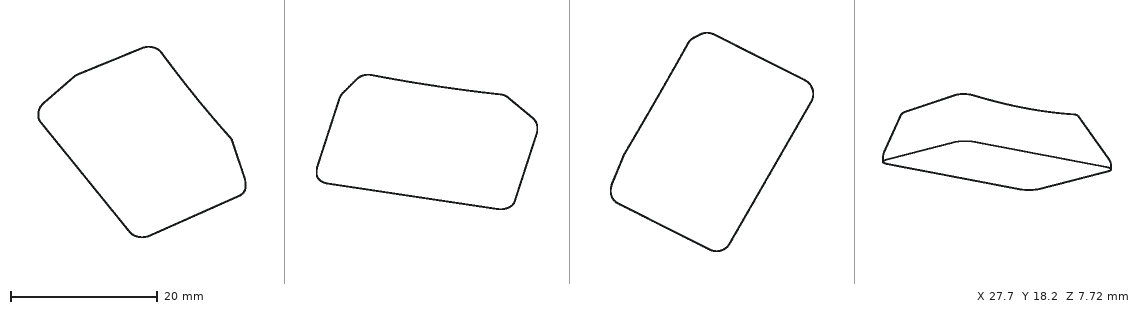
import cadquery as cq
import math

length = 27.7
width = 18.16
corner_radius = 2.0
skirt_height = 0.65

bend_height = 0.7

side_angle = 24.5
front_angle = 27.5
back_angle = 4.5
wall_rise = 7.75

dish_radius = 80.3
dish_tilt = 3.2
dish_floor = 6.8
rim_radius = 0.45


def outline(height, lean, tilt=0):
    """Rounded outline of the four walls, cut by a plane tilted down towards the back.

    Height and lean are those on the Z axis; lean is the inset of a wall sloping at 45 degrees.
    """
    plane_slope = math.tan(math.radians(tilt))
    side_slope = math.tan(math.radians(side_angle))
    front_slope = math.tan(math.radians(front_angle))
    back_slope = math.tan(math.radians(back_angle))
    front_y = (-width / 2 + lean * front_slope) / (1 + plane_slope * front_slope)
    back_y = (width / 2 - lean * back_slope) / (1 - plane_slope * back_slope)
    size_x = length - 2 * lean * side_slope
    size_y = (back_y - front_y) / math.cos(math.radians(tilt))
    middle_y = (front_y + back_y) / 2
    middle = cq.Vector(0, middle_y, height - middle_y * plane_slope)
    sketch = cq.Sketch().rect(size_x, size_y).vertices().fillet(corner_radius)
    return sketch.moved(cq.Location(middle, cq.Vector(1, 0, 0), -tilt))


def bend_outline(rise):
    """Outline within the bend, whose lean grows as a parabola tangent to skirt and walls."""
    return outline(skirt_height + rise, rise**2 / (2 * bend_height))


def make_skirt():
    return cq.Workplane("XY").placeSketch(outline(0, 0)).extrude(skirt_height)


def make_bend():
    sections = [bend_outline(rise) for rise in (0, bend_height / 2, bend_height)]
    return cq.Workplane("XY").placeSketch(*sections).loft()


def make_walls():
    lower = bend_outline(bend_height)
    top_height = skirt_height + bend_height + wall_rise
    upper = outline(top_height, bend_height / 2 + wall_rise, dish_tilt)
    return cq.Workplane("XY").placeSketch(lower, upper).loft(ruled=True)


def make_dish():
    dish = cq.Workplane("XZ").circle(dish_radius).extrude(width, both=True)
    dish = dish.translate((0, 0, dish_radius))
    dish = dish.rotate((0, 0, 0), (1, 0, 0), -dish_tilt)
    return dish.translate((0, 0, dish_floor))


body = make_skirt().union(make_bend()).union(make_walls())

body = body.cut(make_dish())
rim_zone = cq.selectors.BoxSelector(
    (-length, -width, dish_floor / 2),
    (length, width, 2 * dish_floor),
    boundingbox=True,
)
result = body.edges(rim_zone).fillet(rim_radius)